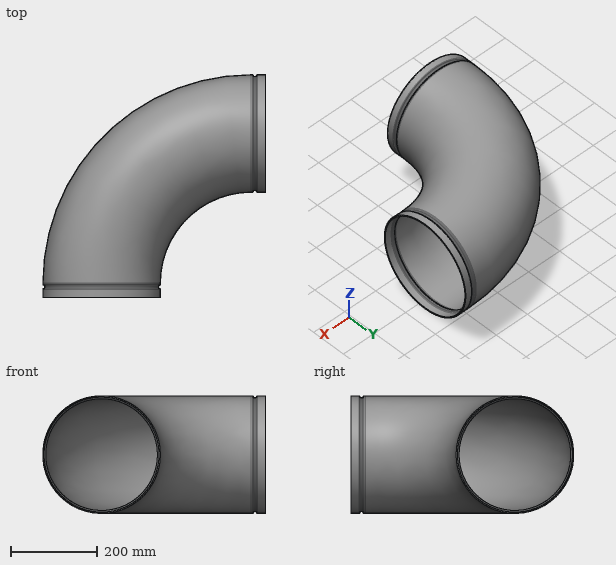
import cadquery as cq

overall_size = 517.5
outer_diameter = 273.0
inner_diameter = 267.0
groove_outer_diameter = 265.0
groove_inner_diameter = 259.5
bend_angle = 90

collar_length = 33.5
groove_start = 18.5
groove_end = 31.0
groove_floor_width = 2.5

bend_radius = overall_size - outer_diameter / 2 - collar_length
flank_width = (groove_end - groove_start - groove_floor_width) / 2
floor_start = groove_start + flank_width
floor_end = floor_start + groove_floor_width

inlet_x = -bend_radius


def collar(pipe_diameter, groove_diameter):
    """Solid inlet collar along Y, with a groove whose flanks are S-curves of two arcs."""
    pipe_radius = pipe_diameter / 2
    groove_radius = groove_diameter / 2
    middle_radius = (pipe_radius + groove_radius) / 2
    return (
        cq.Workplane("XY", origin=(inlet_x, -collar_length, 0))
        .lineTo(pipe_radius, 0)
        .lineTo(pipe_radius, groove_start)
        .tangentArcPoint((middle_radius, groove_start + flank_width / 2), relative=False)
        .tangentArcPoint((groove_radius, floor_start), relative=False)
        .lineTo(groove_radius, floor_end)
        .tangentArcPoint((middle_radius, floor_end + flank_width / 2), relative=False)
        .tangentArcPoint((pipe_radius, groove_end), relative=False)
        .lineTo(pipe_radius, collar_length)
        .lineTo(0, collar_length)
        .close()
        .revolve(360, (0, 0), (0, 1))
    )


def elbow(pipe_diameter, groove_diameter):
    """Solid elbow: a quarter-torus bend with the same collar at both ends."""
    inlet = collar(pipe_diameter, groove_diameter)
    outlet = inlet.mirror((1, 1, 0))
    bend = (
        cq.Workplane("XZ")
        .center(inlet_x, 0)
        .circle(pipe_diameter / 2)
        .revolve(bend_angle, (bend_radius, 0), (bend_radius, -1))
    )
    return bend.union(inlet).union(outlet)


outer_body = elbow(outer_diameter, groove_outer_diameter)
bore = elbow(inner_diameter, groove_inner_diameter)
result = outer_body.cut(bore)